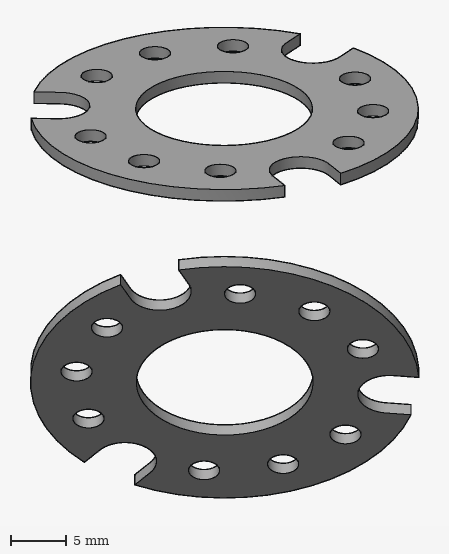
import cadquery as cq

outer_diameter = 35.12
bore_diameter = 15.98
thickness = 1.15

group_count = 3
group_pitch = 360 / group_count
hole_diameter = 2.8
hole_circle_radius = 13.5
first_group_angle = 45.0
hole_spacing_angle = 31.0

notch_width = 5.7
notch_center_radius = 15.0
first_notch_angle = first_group_angle + group_pitch / 2


def make_ring():
    return (
        cq.Workplane("XY")
        .circle(outer_diameter / 2)
        .circle(bore_diameter / 2)
        .extrude(thickness)
    )


def make_hole(angle):
    hole = (
        cq.Workplane("XY")
        .center(hole_circle_radius, 0)
        .circle(hole_diameter / 2)
        .extrude(thickness)
    )
    return hole.rotate((0, 0, 0), (0, 0, 1), angle)


def make_notch(angle):
    half_width = notch_width / 2
    open_end = outer_diameter / 2 + half_width
    notch = (
        cq.Workplane("XY")
        .moveTo(open_end, -half_width)
        .lineTo(open_end, half_width)
        .lineTo(notch_center_radius, half_width)
        .threePointArc(
            (notch_center_radius - half_width, 0),
            (notch_center_radius, -half_width),
        )
        .close()
        .extrude(thickness)
    )
    return notch.rotate((0, 0, 0), (0, 0, 1), angle)


result = make_ring()
for group in range(group_count):
    turn = group * group_pitch
    result = result.cut(make_notch(first_notch_angle + turn))
    for step in (-1, 0, 1):
        hole_angle = first_group_angle + turn + step * hole_spacing_angle
        result = result.cut(make_hole(hole_angle))